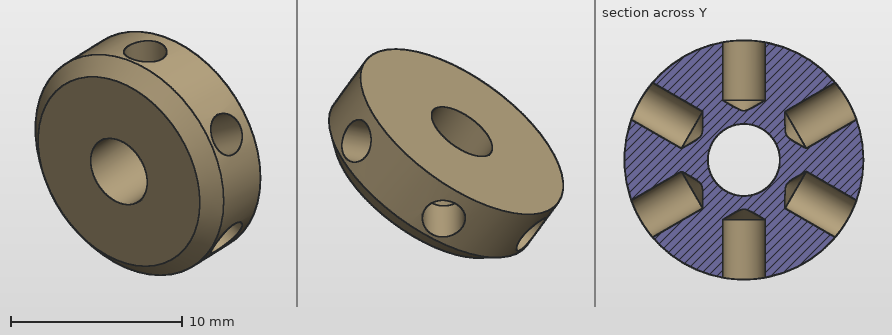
import cadquery as cq
import math

outer_diameter = 14.0
thickness = 4.5
chamfer = 1.0
bore_diameter = 4.2

hole_count = 6
hole_diameter = 2.5
hole_depth = 3.5
tip_angle = 118.0
hole_from_back = 2.0

outer_radius = outer_diameter / 2
hole_radius = hole_diameter / 2
back_y = thickness / 2
hole_y = back_y - hole_from_back
tip_length = hole_radius / math.tan(math.radians(tip_angle / 2))


def make_ring():
    """Disc with a chamfered front edge and a through bore."""
    disc = cq.Workplane("XZ", origin=(0, back_y, 0)).circle(outer_radius).extrude(thickness)
    disc = disc.faces("<Y").edges().chamfer(chamfer)
    return disc.faces("<Y").workplane().hole(bore_diameter)


def make_drill():
    """Cutter for one rim hole, pointing at the ring axis from +Z."""
    floor_z = outer_radius - hole_depth
    profile = [
        (0, floor_z - tip_length),
        (hole_radius, floor_z),
        (hole_radius, outer_radius),
        (0, outer_radius),
    ]
    cutter = cq.Workplane("XZ").polyline(profile).close().revolve(360, (0, 0, 0), (0, 1, 0))
    return cutter.translate((0, hole_y, 0))


result = make_ring()
drill = make_drill()
for index in range(hole_count):
    angle = index * 360 / hole_count
    result = result.cut(drill.rotate((0, 0, 0), (0, 1, 0), angle))